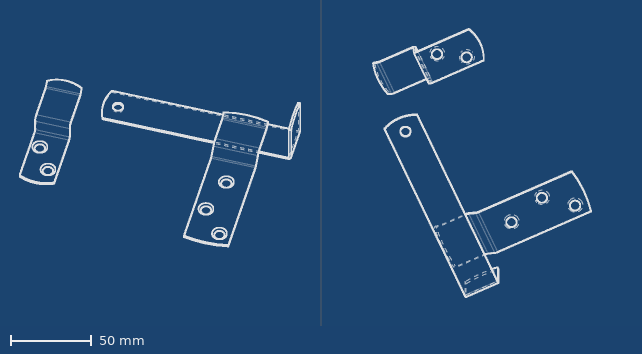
import cadquery as cq
import math

SHEET = 1.5
STRIP_WIDTH = 22.25
STRIP_END_RADIUS = 25.5
BEND = 1.4
LIP_ANGLE = 45

HOLE_DIAMETER = 6.35
COUNTERSINK_DIAMETER = 9.325

BAR_START_X = 36.3
BAR_END_X = 160.1
BAR_BOTTOM_Z = 5.25
BAR_TOP_Z = 37.21
BAR_CENTER_Y = -11.4
BAR_BEND = 0.75
BAR_HOLE_INSET = 9.5

WIDE_WIDTH = 28.575
WIDE_END_RADIUS = 71.5
WIDE_CENTER_X = 125.27
WIDE_FOOT_END_Y = -96.53
WIDE_FOOT_LENGTH = 65.1
WIDE_FLANGE_RISE = 7.0
WIDE_SLOPE_ANGLE = 45
WIDE_SHOULDER_BEND = 5.06
WIDE_FLANGE_LENGTH = 15.8
WIDE_LIP_LENGTH = 4.642
WIDE_HOLES = [(0, 49.2), (-6.6, 25.4), (6.6, 8.8)]

NARROW_CENTER_X = STRIP_WIDTH / 2
NARROW_FOOT_END_Y = -78.3
NARROW_FOOT_LENGTH = 37.45
NARROW_FLANGE_RISE = 12.7
NARROW_STEP_ANGLE = 90
NARROW_FLANGE_LENGTH = 21.8
NARROW_LIP_LENGTH = 6.03
NARROW_HOLES = [(-4.76, 27.3), (4.76, 11.4)]


def step_straight(rise, angle, first_bend, second_bend):
    """Straight length between two opposite bends that together lift the sheet by rise."""
    turn = math.radians(angle)
    middle_radii = first_bend + second_bend + SHEET
    return (rise - middle_radii * (1 - math.cos(turn))) / math.sin(turn)


def crown_waste(frame, width, radius):
    """Material outside a crowned strip end; the frame's X runs off the end, its Y across."""
    half = width / 2
    sagitta = radius - math.sqrt(radius**2 - half**2)
    outline = (
        cq.Workplane(frame)
        .moveTo(-sagitta, -half)
        .threePointArc((0, 0), (-sagitta, half))
        .lineTo(-sagitta, width)
        .lineTo(sagitta, width)
        .lineTo(sagitta, -width)
        .lineTo(-sagitta, -width)
        .close()
    )
    return outline.extrude(SHEET, both=True)


def walk_sheet(start, first_straight, bends):
    """Follow the middle of the sheet; each stop is (x, y, heading).

    Returns the first stop and the pieces after it, each as (arc middle or None, end).
    """
    x, y = start
    heading = 0.0
    pieces = []

    def go_straight(length):
        nonlocal x, y
        x += length * math.cos(heading)
        y += length * math.sin(heading)
        pieces.append((None, (x, y, heading)))

    go_straight(first_straight)
    for angle, inner_radius, straight in bends:
        turn = math.radians(angle)
        radius = math.copysign(inner_radius + SHEET / 2, turn)
        center_x = x - radius * math.sin(heading)
        center_y = y + radius * math.cos(heading)
        middle, end = [
            (center_x + radius * math.sin(direction), center_y - radius * math.cos(direction), direction)
            for direction in (heading + turn / 2, heading + turn)
        ]
        pieces.append((middle, end))
        x, y, heading = end
        go_straight(straight)
    return (*start, 0.0), pieces


def beside(stop, offset):
    """Point at an offset to the left of a stop."""
    x, y, heading = stop
    return (x - offset * math.sin(heading), y + offset * math.cos(heading))


def add_piece(profile, arc_middle, end, offset):
    """Draw one sheet face along a straight or bent piece."""
    if arc_middle is None:
        return profile.lineTo(*beside(end, offset))
    return profile.threePointArc(beside(arc_middle, offset), beside(end, offset))


def bent_strip(plane, start, first_straight, bends, width, end_radius):
    """Strip of sheet bent in the given plane, centred on it, with both ends crowned.

    start is the middle of the sheet's first end, heading along the plane's X.
    Each bend is (angle, inner radius, straight length after it); positive turns left.
    """
    half = SHEET / 2
    first_stop, pieces = walk_sheet(start, first_straight, bends)
    stops = [first_stop] + [end for _, end in pieces]

    profile = cq.Workplane(plane).moveTo(*beside(first_stop, half))
    for arc_middle, end in pieces:
        profile = add_piece(profile, arc_middle, end, half)
    profile = profile.lineTo(*beside(stops[-1], -half))
    for index in reversed(range(len(pieces))):
        arc_middle = pieces[index][0]
        profile = add_piece(profile, arc_middle, stops[index], -half)
    strip = profile.close().extrude(width / 2, both=True)

    along = plane.xDir
    up = plane.yDir
    last_x, last_y, heading = stops[-1]
    first_end = cq.Plane(plane.toWorldCoords(start), xDir=-along, normal=up)
    last_end = cq.Plane(
        plane.toWorldCoords((last_x, last_y)),
        xDir=along * math.cos(heading) + up * math.sin(heading),
        normal=up * math.cos(heading) - along * math.sin(heading),
    )
    for frame in (first_end, last_end):
        strip = strip.cut(crown_waste(frame, width, end_radius))
    return strip


def bracket(center_x, foot_end_y, foot_length, step_bends, lip_length, width, end_radius, holes):
    """Foot plate on Z = 0 with countersunk holes, a raised flange and a flared lip."""
    plane = cq.Plane((center_x, 0, 0), xDir=(0, 1, 0), normal=(1, 0, 0))
    bends = step_bends + [(LIP_ANGLE, BEND, lip_length)]
    body = bent_strip(plane, (foot_end_y, SHEET / 2), foot_length, bends, width, end_radius)
    for across, inset in holes:
        countersink = cq.Solid.makeCone(
            HOLE_DIAMETER / 2,
            COUNTERSINK_DIAMETER / 2,
            SHEET,
            pnt=cq.Vector(center_x + across, foot_end_y + inset, 0),
        )
        body = body.cut(cq.Workplane(countersink))
    return body


def make_latch_bar():
    plane = cq.Plane((0, BAR_CENTER_Y, 0), xDir=(1, 0, 0), normal=(0, -1, 0))
    bend_outer = BAR_BEND + SHEET
    base_straight = BAR_END_X - bend_outer - BAR_START_X
    tab_straight = BAR_TOP_Z - BAR_BOTTOM_Z - bend_outer
    start = (BAR_START_X, BAR_BOTTOM_Z + SHEET / 2)
    bar = bent_strip(
        plane, start, base_straight, [(90, BAR_BEND, tab_straight)], STRIP_WIDTH, STRIP_END_RADIUS
    )
    hole = (
        cq.Workplane("XY", origin=(BAR_START_X + BAR_HOLE_INSET, BAR_CENTER_Y, BAR_BOTTOM_Z))
        .circle(HOLE_DIAMETER / 2)
        .extrude(SHEET)
    )
    return bar.cut(hole)


def make_wide_bracket():
    slope = step_straight(WIDE_FLANGE_RISE, WIDE_SLOPE_ANGLE, BEND, WIDE_SHOULDER_BEND)
    step_bends = [
        (WIDE_SLOPE_ANGLE, BEND, slope),
        (-WIDE_SLOPE_ANGLE, WIDE_SHOULDER_BEND, WIDE_FLANGE_LENGTH),
    ]
    return bracket(
        WIDE_CENTER_X, WIDE_FOOT_END_Y, WIDE_FOOT_LENGTH, step_bends,
        WIDE_LIP_LENGTH, WIDE_WIDTH, WIDE_END_RADIUS, WIDE_HOLES,
    )


def make_narrow_bracket():
    upright = step_straight(NARROW_FLANGE_RISE, NARROW_STEP_ANGLE, BEND, BEND)
    step_bends = [
        (NARROW_STEP_ANGLE, BEND, upright),
        (-NARROW_STEP_ANGLE, BEND, NARROW_FLANGE_LENGTH),
    ]
    return bracket(
        NARROW_CENTER_X, NARROW_FOOT_END_Y, NARROW_FOOT_LENGTH, step_bends,
        NARROW_LIP_LENGTH, STRIP_WIDTH, STRIP_END_RADIUS, NARROW_HOLES,
    )


latch_bar = make_latch_bar()
wide_bracket = make_wide_bracket()
narrow_bracket = make_narrow_bracket()

result = cq.Compound.makeCompound([latch_bar.val(), wide_bracket.val(), narrow_bracket.val()])